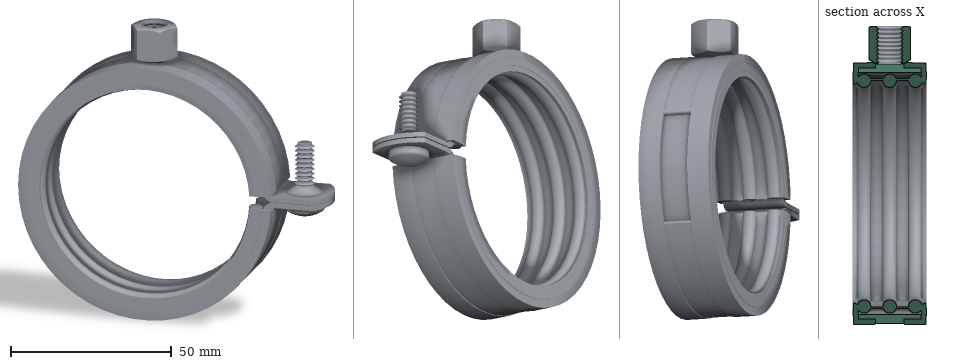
import cadquery as cq
import math

liner_radius = 40.8
liner_inner_radius = 33.9
rim_root_radius = 34.5
liner_half_width = 11.4
liner_half_gap_angle = 3.3
side_band_inner_radius = 35.6
side_band_outer_radius = 38.0
side_band_height = 0.15
lip_half_opening = 4.5
rib_radius = 2.2
rib_centre_radius = 35.1
rib_spacing = 8.0
web_inner_radius = 35.1
web_thickness = 0.7

strap_thickness = 1.5
strap_radius = 39.1
strap_inner_radius = strap_radius - strap_thickness
strap_half_width = 9.8
bead_radius = 40.5
bead_half_width = lip_half_opening
bead_stop_angle = 25.2
bead_end_round = 0.6

tab_gap = 0.35
tab_bottom = tab_gap / 2
tab_top = tab_bottom + strap_thickness
tab_end = 98.45 - liner_radius
tab_corner = 54.1
outer_bend_radius = 3.3
outer_bend_end = 41.0
inner_bend_radius = 2.8
inner_bend_end = 41.7

screw_x = 48.5
screw_core_radius = 2.31
screw_crest_radius = 3.1
screw_top = 17.3
screw_first_crest = 16.1
screw_pitch = 1.5
screw_crest_count = 9
screw_ridge_half_height = 0.44
head_radius = 6.3
head_wall_bottom = -3.4
head_bottom = -6.1
head_dome_radius = 5.9
head_dome_top = -4.2

washer_base_radius = 5.7
washer_top = 3.8

nut_across_flats = 13.0
nut_corner_radius = nut_across_flats / math.sqrt(3)
nut_bottom = bead_radius
nut_top = 52.0
nut_top_face_radius = 6.05
nut_bottom_face_radius = 4.3
nut_bottom_chamfer_height = 1.5
nut_top_chamfer_height = (nut_corner_radius - nut_top_face_radius) * math.tan(math.radians(30))
nut_bore_radius = 3.4
nut_thread_radius = 4.0
nut_thread_pitch = 1.3
nut_thread_count = 8
nut_countersink_radius = 4.2
nut_countersink_depth = nut_countersink_radius - nut_bore_radius


def ring_sector(inner, outer, y_start, y_end, first_angle, last_angle):
    """Ring segment around Y; angles in degrees run from +X towards +Z."""
    profile = cq.Workplane("XY").moveTo(inner, y_start).lineTo(outer, y_start)
    profile = profile.lineTo(outer, y_end).lineTo(inner, y_end).close()
    return sweep_sector(profile, first_angle, last_angle)


def sweep_sector(profile, first_angle, last_angle):
    """Turn a closed XY profile around Y, from first_angle up to last_angle."""
    sector = profile.revolve(last_angle - first_angle, (0, 0, 0), (0, -1, 0))
    return sector.rotate((0, 0, 0), (0, -1, 0), first_angle)


def revolved_about_z(points, x):
    """Solid of revolution about the vertical line at x, from (radius, z) points."""
    return cq.Workplane("XZ").polyline(points).close().revolve(360, (0, 0, 0), (0, 1, 0)).translate((x, 0, 0))


def make_upper_strap():
    half = ring_sector(
        strap_inner_radius, strap_radius, -strap_half_width, strap_half_width, liner_half_gap_angle + 1, 180
    )
    bead = ring_sector(
        strap_inner_radius, bead_radius, -bead_half_width, bead_half_width,
        liner_half_gap_angle, 180 - bead_stop_angle,
    )
    stop = math.radians(180 - bead_stop_angle)
    stop_point = (bead_radius * math.cos(stop), 0, bead_radius * math.sin(stop))
    bead = bead.edges(cq.selectors.NearestToPointSelector(stop_point)).fillet(bead_end_round)
    return half.union(make_tab()).union(bead).cut(screw_clearance())


def make_tab():
    """Bend out of the ring and flat tab with a rounded end."""
    outer_start = outer_bend_end - outer_bend_radius
    inner_start = inner_bend_end - inner_bend_radius
    outer_centre_z = tab_bottom + outer_bend_radius
    inner_centre_z = tab_top + inner_bend_radius
    halfway = math.sqrt(0.5)
    outline = (
        cq.Workplane("XZ")
        .moveTo(tab_end, tab_bottom)
        .lineTo(outer_bend_end, tab_bottom)
        .threePointArc(
            (outer_bend_end - outer_bend_radius * halfway, outer_centre_z - outer_bend_radius * halfway),
            (outer_start, outer_centre_z),
        )
        .lineTo(outer_start, inner_centre_z)
        .lineTo(inner_start, inner_centre_z)
        .threePointArc(
            (inner_bend_end - inner_bend_radius * halfway, inner_centre_z - inner_bend_radius * halfway),
            (inner_bend_end, tab_top),
        )
        .lineTo(tab_end, tab_top)
        .close()
        .extrude(strap_half_width, both=True)
    )
    plan = (
        cq.Workplane("XY")
        .moveTo(strap_inner_radius, -strap_half_width)
        .lineTo(tab_corner, -strap_half_width)
        .threePointArc((tab_end, 0), (tab_corner, strap_half_width))
        .lineTo(strap_inner_radius, strap_half_width)
        .close()
        .extrude(inner_centre_z)
    )
    return outline.intersect(plan)


def screw_clearance():
    return cq.Workplane("XY").center(screw_x, 0).circle(screw_core_radius).extrude(tab_top)


def make_liner():
    first = liner_half_gap_angle
    last = 360 - liner_half_gap_angle
    liner = ring_sector(
        web_inner_radius, web_inner_radius + web_thickness, -rib_spacing, rib_spacing, first, last
    )
    for index in (-1, 0, 1):
        rib = cq.Workplane("XY").center(rib_centre_radius, index * rib_spacing).circle(rib_radius)
        rib = rib.revolve(last - first, (-rib_centre_radius, 0, 0), (-rib_centre_radius, -1, 0))
        liner = liner.union(rib.rotate((0, 0, 0), (0, -1, 0), first))
    for side in (-1, 1):
        wall_inside = side * strap_half_width
        wall_outside = side * liner_half_width
        band_outside = side * (liner_half_width + side_band_height)
        wall = (
            cq.Workplane("XY")
            .moveTo(rib_centre_radius, side * rib_spacing)
            .lineTo(rim_root_radius, wall_inside)
            .lineTo(liner_inner_radius, wall_outside)
            .lineTo(side_band_inner_radius, wall_outside)
            .lineTo(side_band_inner_radius, band_outside)
            .lineTo(side_band_outer_radius, band_outside)
            .lineTo(side_band_outer_radius, wall_outside)
            .lineTo(liner_radius, wall_outside)
            .lineTo(liner_radius, side * lip_half_opening)
            .lineTo(strap_radius, side * lip_half_opening)
            .lineTo(strap_radius, wall_inside)
            .lineTo(rib_centre_radius, wall_inside)
            .close()
        )
        liner = liner.union(sweep_sector(wall, first, last))
    return liner


def make_screw():
    shank = cq.Workplane("XY").workplane(offset=head_wall_bottom).circle(screw_core_radius)
    screw = shank.extrude(screw_top - head_wall_bottom).translate((screw_x, 0, 0))
    for index in range(screw_crest_count):
        crest = screw_first_crest - index * screw_pitch
        ridge = [
            (0, crest - screw_ridge_half_height),
            (screw_core_radius, crest - screw_ridge_half_height),
            (screw_crest_radius, crest),
            (screw_core_radius, crest + screw_ridge_half_height),
            (0, crest + screw_ridge_half_height),
        ]
        screw = screw.union(revolved_about_z(ridge, screw_x))
    return screw.union(make_screw_head())


def make_screw_head():
    """Round head with a rounded edge and a spherical underside."""
    dome_height = head_dome_top - head_bottom
    sphere_radius = (head_dome_radius**2 + dome_height**2) / (2 * dome_height)
    mid_radius = head_dome_radius / 2
    mid_z = head_bottom + sphere_radius - math.sqrt(sphere_radius**2 - mid_radius**2)
    return (
        cq.Workplane("XZ")
        .moveTo(0, -tab_top)
        .lineTo(head_radius, -tab_top)
        .lineTo(head_radius, head_wall_bottom)
        .tangentArcPoint((head_dome_radius, head_dome_top), relative=False)
        .threePointArc((mid_radius, mid_z), (0, head_bottom))
        .close()
        .revolve(360, (0, 0, 0), (0, 1, 0))
        .translate((screw_x, 0, 0))
    )


def make_washer():
    cone_outline = [
        (screw_core_radius, tab_top),
        (washer_base_radius, tab_top),
        (screw_core_radius, washer_top),
    ]
    return revolved_about_z(cone_outline, screw_x)


def make_nut():
    hexagon = cq.Workplane("XY").workplane(offset=nut_bottom).polygon(6, 2 * nut_corner_radius)
    nut = hexagon.extrude(nut_top - nut_bottom)
    envelope = [
        (0, nut_bottom),
        (nut_bottom_face_radius, nut_bottom),
        (nut_corner_radius, nut_bottom + nut_bottom_chamfer_height),
        (nut_corner_radius, nut_top - nut_top_chamfer_height),
        (nut_top_face_radius, nut_top),
        (0, nut_top),
    ]
    nut = nut.intersect(revolved_about_z(envelope, 0))
    bore = [
        (0, nut_bottom),
        (nut_bore_radius, nut_bottom),
        (nut_bore_radius, nut_top - nut_countersink_depth),
        (nut_countersink_radius, nut_top),
        (0, nut_top),
    ]
    nut = nut.cut(revolved_about_z(bore, 0))
    groove_half = nut_thread_pitch / 2
    for index in range(1, nut_thread_count + 1):
        middle = nut_top - nut_countersink_depth - index * nut_thread_pitch + groove_half
        groove = [
            (0, middle - groove_half),
            (nut_bore_radius, middle - groove_half),
            (nut_thread_radius, middle),
            (nut_bore_radius, middle + groove_half),
            (0, middle + groove_half),
        ]
        nut = nut.cut(revolved_about_z(groove, 0))
    return nut


upper_strap = make_upper_strap()
lower_strap = upper_strap.mirror("XY")
nut = make_nut()
liner = make_liner().cut(upper_strap).cut(lower_strap).cut(nut)
screw = make_screw()
washer = make_washer()

result = cq.Compound.makeCompound(
    [upper_strap.val(), lower_strap.val(), liner.val(), screw.val(), washer.val(), nut.val()]
)